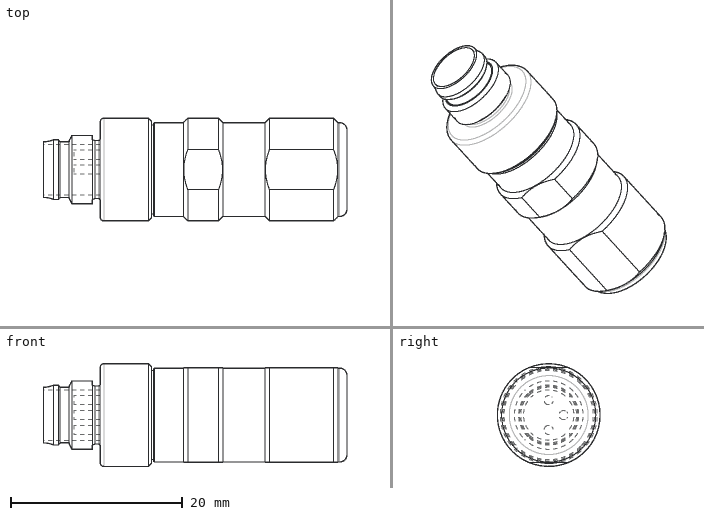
import cadquery as cq
import math

length = 35.4
collar_radius = 12.0 / 2
barrel_radius = 5.5
flat_height = 5.52

sleeve_radius = 3.25
bead_radius = 3.5
bead_start = 1.2
bead_end = 1.75
bead_ramp = 0.2
bore_radius = 2.95

shoulder_start = 3.0
shoulder_end = 5.7
shoulder_radius = 4.0
shoulder_cone = 0.32

neck_radius = 3.4
neck_cone = 0.32
neck_fillet = 0.2

collar_start = 6.62
collar_end = 12.6
collar_fillet = 0.42
collar_chamfer = 0.35
groove_radius = 5.2
groove_width = 0.2
barrel_chamfer = 0.15

ring_cone = collar_radius - barrel_radius
middle_ring = (16.32, 20.92)
rear_ring = (25.85, 34.35)
end_fillet = 0.9

bore_depth = collar_start
pin_radius = 0.53
pin_circle_radius = 1.75
pin_tip = 3.55
pin_angles = (0, 90, 180)
pin_root_overlap = 0.35


def arc_middle(center_x, center_r, radius, degrees):
    """Point on a profile arc, at an angle measured from the +X direction."""
    angle = math.radians(degrees)
    return (center_x + radius * math.cos(angle), center_r + radius * math.sin(angle))


def add_sleeve(profile):
    """Sleeve outline: flared lead-in, snap bead and a plain stretch up to the shoulder."""
    rise = bead_radius - sleeve_radius
    flare_radius = (bead_start ** 2 + rise ** 2) / (2 * rise)
    half_angle = math.degrees(math.asin(bead_start / flare_radius)) / 2
    flare_middle = arc_middle(0, sleeve_radius + flare_radius, flare_radius, half_angle - 90)
    return (
        profile.lineTo(0, sleeve_radius)
        .threePointArc(flare_middle, (bead_start, bead_radius))
        .lineTo(bead_end, bead_radius)
        .lineTo(bead_end + bead_ramp, sleeve_radius)
        .lineTo(shoulder_start, sleeve_radius)
    )


def add_shoulder_and_neck(profile):
    """Coned shoulder, then a neck with a shallow cone in front and a fillet at the collar."""
    fillet_middle = arc_middle(
        collar_start - neck_fillet, neck_radius + neck_fillet, neck_fillet, -45
    )
    return (
        profile.lineTo(shoulder_start, neck_radius)
        .lineTo(shoulder_start + shoulder_cone, shoulder_radius)
        .lineTo(shoulder_end, shoulder_radius)
        .lineTo(shoulder_end, bead_radius)
        .lineTo(shoulder_end + neck_cone, neck_radius)
        .lineTo(collar_start - neck_fillet, neck_radius)
        .threePointArc(fillet_middle, (collar_start, neck_radius + neck_fillet))
    )


def add_collar_and_groove(profile):
    """Collar with a rounded front edge and a chamfered rear edge, then the groove."""
    fillet_middle = arc_middle(
        collar_start + collar_fillet, collar_radius - collar_fillet, collar_fillet, 135
    )
    groove_end = collar_end + groove_width
    return (
        profile.lineTo(collar_start, collar_radius - collar_fillet)
        .threePointArc(fillet_middle, (collar_start + collar_fillet, collar_radius))
        .lineTo(collar_end - collar_chamfer, collar_radius)
        .lineTo(collar_end, collar_radius - collar_chamfer)
        .lineTo(collar_end, groove_radius)
        .lineTo(groove_end, groove_radius)
        .lineTo(groove_end, barrel_radius - barrel_chamfer)
        .lineTo(groove_end + barrel_chamfer, barrel_radius)
    )


def add_wrench_ring(profile, start, end):
    """Raised ring standing on the barrel."""
    return (
        profile.lineTo(start, barrel_radius)
        .lineTo(start + ring_cone, collar_radius)
        .lineTo(end - ring_cone, collar_radius)
        .lineTo(end, barrel_radius)
    )


def add_rounded_end(profile):
    """Rounded rear edge and the plain rear face."""
    fillet_middle = arc_middle(length - end_fillet, barrel_radius - end_fillet, end_fillet, 45)
    return (
        profile.lineTo(length - end_fillet, barrel_radius)
        .threePointArc(fillet_middle, (length, barrel_radius - end_fillet))
        .lineTo(length, 0)
    )


def turned_body():
    profile = cq.Workplane("XY").moveTo(0, 0)
    profile = add_sleeve(profile)
    profile = add_shoulder_and_neck(profile)
    profile = add_collar_and_groove(profile)
    profile = add_wrench_ring(profile, *middle_ring)
    profile = add_wrench_ring(profile, *rear_ring)
    profile = add_rounded_end(profile)
    return profile.close().revolve(360, (0, 0, 0), (1, 0, 0))


def flat_cutters(start, end):
    """Blocks above and below a wrench ring that leave two flats across +Z and -Z."""
    thickness = collar_radius - flat_height
    block = cq.Workplane("XY").box(
        end - start, 2 * collar_radius, thickness, centered=(False, True, False)
    )
    top = block.translate((start, 0, flat_height))
    bottom = block.translate((start, 0, -collar_radius))
    return top.union(bottom)


def contact_pins():
    points = []
    for degrees in pin_angles:
        angle = math.radians(degrees)
        points.append((pin_circle_radius * math.sin(angle), pin_circle_radius * math.cos(angle)))
    return (
        cq.Workplane("YZ", origin=(pin_tip, 0, 0))
        .pushPoints(points)
        .circle(pin_radius)
        .extrude(bore_depth + pin_root_overlap - pin_tip)
    )


bore = cq.Workplane("YZ").circle(bore_radius).extrude(bore_depth)

result = turned_body().cut(bore)
for ring_start, ring_end in (middle_ring, rear_ring):
    result = result.cut(flat_cutters(ring_start, ring_end))
result = result.union(contact_pins())